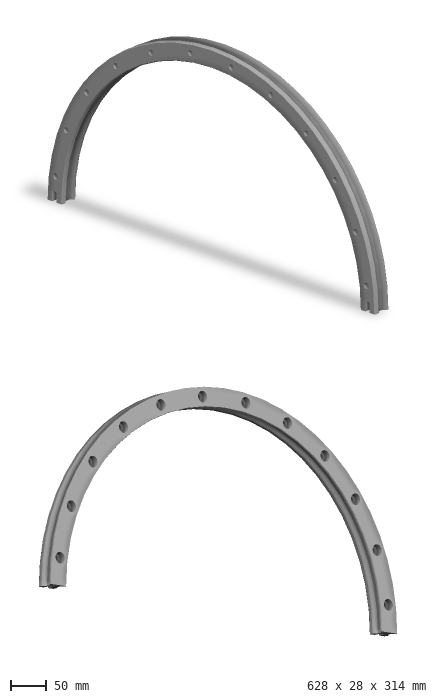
import cadquery as cq
import math

outer_radius = 314.0
rail_height = 28.0
rail_depth = 28.0
middle_radius = outer_radius - rail_height / 2

groove_depth = 5.0
chamfer = 2.0
chamfer_drop = 1.0
rear_chamfer = 1.0
rear_chamfer_drop = 0.5
front_flange_width = 9.5
rear_flange_width = 4.0
front_slope_width = 4.0
rear_slope_width = 4.0

hole_count = 12
hole_pitch = 180 / hole_count
hole_diameter = 9.0
counterbore_diameter = 16.5
counterbore_depth = 10.5

slot_width = 8.0
slot_height = 16.0
slot_depth = rail_depth / 2


def half_section():
    """Points (height from the middle radius, Y) of the outer half, front to rear."""
    top = rail_height / 2
    shoulder = top - chamfer_drop
    floor = top - groove_depth
    floor_start = front_flange_width + front_slope_width
    rear_flange_start = rail_depth - rear_flange_width
    return [
        (shoulder, 0),
        (top, chamfer),
        (top, front_flange_width - chamfer),
        (shoulder, front_flange_width),
        (floor, floor_start),
        (floor, rear_flange_start - rear_slope_width),
        (top, rear_flange_start),
        (top, rail_depth - rear_chamfer),
        (top - rear_chamfer_drop, rail_depth),
    ]


def make_rail():
    """Revolve the mirrored section through a half turn about the Y axis."""
    outer_half = [(middle_radius + height, y) for height, y in half_section()]
    inner_half = [(middle_radius - height, y) for height, y in reversed(half_section())]
    section = cq.Workplane("XY").polyline(outer_half + inner_half).close()
    return section.revolve(180, (0, 0), (0, -1))


def cut_holes(rail):
    """Drill the counterbored mounting holes, evenly spaced along the arc."""
    angles = [math.radians((index + 0.5) * hole_pitch) for index in range(hole_count)]
    centres = [(middle_radius * math.cos(angle), middle_radius * math.sin(angle)) for angle in angles]
    holes = cq.Workplane("XZ").pushPoints(centres).circle(hole_diameter / 2).extrude(-rail_depth)
    counterbores = (
        cq.Workplane("XZ", origin=(0, rail_depth, 0))
        .pushPoints(centres)
        .circle(counterbore_diameter / 2)
        .extrude(counterbore_depth)
    )
    return rail.cut(holes).cut(counterbores)


def cut_slots(rail):
    """Cut a blind slot, open at the front face and the end face, in each leg."""
    slots = (
        cq.Workplane("XY")
        .pushPoints([(-middle_radius, 0), (middle_radius, 0)])
        .box(slot_width, slot_depth, slot_height, centered=(True, False, False))
    )
    return rail.cut(slots)


result = cut_slots(cut_holes(make_rail()))